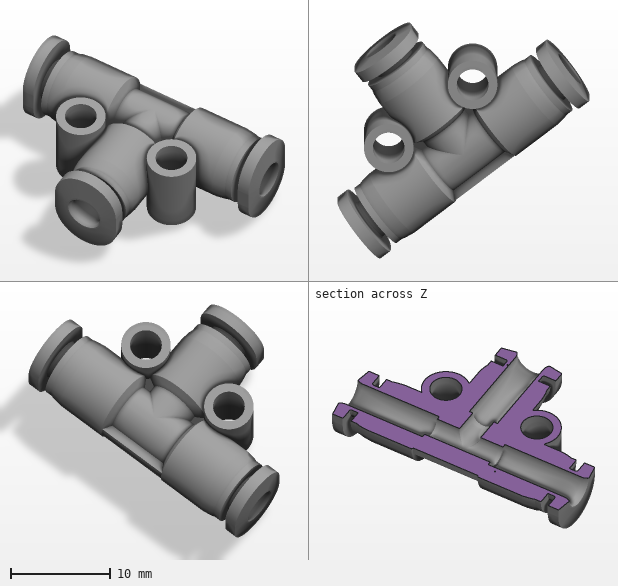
import cadquery as cq
import math

arm_length = 13.6

body_radius = 3.75
core_radius = 2.75
core_end = 3.3
body_start = 3.9
shoulder_start = 9.15
nose_start = 10.53
nose_end = 11.2
nose_radius = 3.5

collar_radius = 2.12
collar_foot_radius = 2.2
collar_foot_start = 11.9
flange_back = 12.08
flange_edge = 13.33
flange_radius = 3.6
flange_straight = 2.0
face_ring_radius = 2.05
face_split_angle = math.radians(15)

socket_radius = 1.63
socket_mouth_radius = 1.88
socket_mouth_depth = 0.7
passage_radius = 1.22

web_thickness = 1.58
web_back = 3.55

mount_x = 5.35
mount_y = -5.4
mount_radius = 2.5
mount_hole_radius = 1.6
mount_height = 2 * body_radius


def place_on_arms(arm_shape):
    """Union of a +X arm shape turned onto the two run arms and the -Y branch."""
    placed = cq.Workplane("XY")
    for angle in (0, 180, -90):
        placed = placed.add(arm_shape.rotate((0, 0, 0), (0, 0, 1), angle))
    return placed.combine()


def make_core():
    run = cq.Workplane("YZ").circle(core_radius).extrude(core_end, both=True)
    branch = cq.Workplane("XZ").circle(core_radius).extrude(core_end)
    return run.union(branch)


def make_arm_body():
    return (
        cq.Workplane("XY")
        .moveTo(core_end, 0)
        .lineTo(core_end, core_radius)
        .lineTo(body_start, body_radius)
        .lineTo(shoulder_start, body_radius)
        .tangentArcPoint((nose_start, nose_radius), relative=False)
        .lineTo(nose_end, nose_radius)
        .lineTo(nose_end, collar_radius)
        .lineTo(collar_foot_start, collar_radius)
        .lineTo(flange_back, collar_foot_radius)
        .lineTo(flange_back, 0)
        .close()
        .revolve(360, (0, 0, 0), (1, 0, 0))
    )


def make_flange():
    """Slot-shaped flange whose outer face tapers to a round ring."""
    half_straight = flange_straight / 2
    ring_y = face_ring_radius * math.cos(face_split_angle)
    ring_z = face_ring_radius * math.sin(face_split_angle)

    rim = (
        cq.Workplane("YZ", origin=(flange_back, 0, 0))
        .slot2D(flange_straight + 2 * flange_radius, 2 * flange_radius, 90)
        .extrude(flange_edge - flange_back)
    )
    taper = (
        cq.Workplane("YZ", origin=(flange_edge, 0, 0))
        .moveTo(flange_radius, -half_straight)
        .lineTo(flange_radius, half_straight)
        .threePointArc((0, half_straight + flange_radius), (-flange_radius, half_straight))
        .lineTo(-flange_radius, -half_straight)
        .threePointArc((0, -half_straight - flange_radius), (flange_radius, -half_straight))
        .close()
        .workplane(offset=arm_length - flange_edge)
        .moveTo(ring_y, -ring_z)
        .threePointArc((face_ring_radius, 0), (ring_y, ring_z))
        .threePointArc((0, face_ring_radius), (-ring_y, ring_z))
        .threePointArc((-face_ring_radius, 0), (-ring_y, -ring_z))
        .threePointArc((0, -face_ring_radius), (ring_y, -ring_z))
        .close()
        .loft(ruled=True)
    )
    return rim.union(taper)


def make_bore():
    """Passage from the tee centre, socket and rounded socket mouth, as a cutter."""
    return (
        cq.Workplane("XY")
        .lineTo(0, passage_radius)
        .lineTo(body_start, passage_radius)
        .lineTo(body_start, socket_radius)
        .lineTo(arm_length - socket_mouth_depth, socket_radius)
        .tangentArcPoint((arm_length, socket_mouth_radius), relative=False)
        .lineTo(arm_length, 0)
        .close()
        .revolve(360, (0, 0, 0), (1, 0, 0))
    )


def make_web():
    return (
        cq.Workplane("XY")
        .box(2 * body_start, web_back + body_start, web_thickness)
        .translate((0, (web_back - body_start) / 2, 0))
    )


def mount_cylinders(radius):
    return (
        cq.Workplane("XY")
        .pushPoints([(-mount_x, mount_y), (mount_x, mount_y)])
        .circle(radius)
        .extrude(mount_height / 2, both=True)
    )


arm = make_arm_body().union(make_flange())

result = (
    make_core()
    .union(place_on_arms(arm))
    .union(make_web())
    .union(mount_cylinders(mount_radius))
    .cut(mount_cylinders(mount_hole_radius))
    .cut(place_on_arms(make_bore()))
)